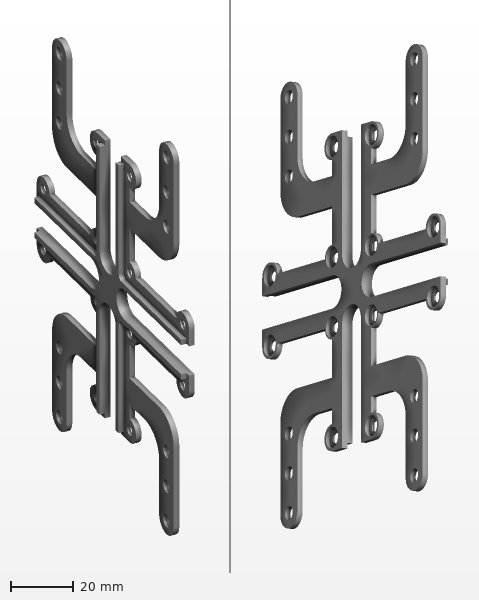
import cadquery as cq
height = 146.0
cross_span = 104.0
depth = 4.0
plate_thickness = 2.0
back_y = depth / 2

rail_edge = 11.4
slot_width = 11.0
slot_round_center = rail_edge
rib_width = 2.0
rib_end_setback = 1.9
rib_corner_radius = 1.9
rib_edge = slot_width / 2 + rib_width

outer_lug_radius = 4.4
inner_lug_radius = 4.1
lug_hole_diameter = 3.5
lug_recess_diameter = 7.0
lug_recess_depth = 1.5
outer_lug_offset = cross_span / 2 - outer_lug_radius

arm_width = 10.0
arm_center_x = 36.5
arm_foot_z = 28.0
arm_bend_radius = 10.0
arm_hole_diameter = 4.5
arm_hole_pitch = 13.0
arm_hole_count = 3
arm_end_z = height / 2 - arm_width / 2

inner_lug_centers = [(rail_edge, rail_edge)]
outer_lug_centers = [(rail_edge, outer_lug_offset), (outer_lug_offset, rail_edge)]
lug_centers = inner_lug_centers + outer_lug_centers
arm_hole_centers = [(arm_center_x, arm_end_z - i * arm_hole_pitch) for i in range(arm_hole_count)]


def back_face():
    """XZ sketch plane on the back face; extrusions run toward -Y."""
    return cq.Workplane("XZ", origin=(0, back_y, 0))


def in_all_quadrants(points):
    return [(sx * x, sz * z) for x, z in points for sx in (1, -1) for sz in (1, -1)]


def make_cross(half_width, span, thickness):
    upright = back_face().rect(2 * half_width, span).extrude(thickness)
    crossbar = back_face().rect(span, 2 * half_width).extrude(thickness)
    return upright.union(crossbar)


def make_rib_cross():
    """Full-depth cross that leaves the raised lips once the slots are cut."""
    cross = make_cross(rib_edge, cross_span - 2 * rib_end_setback, depth)
    reach = rail_edge
    inner_corners = cq.selectors.BoxSelector((-reach, -depth, -reach), (reach, depth, reach))
    return cross.edges("|Y").edges(inner_corners).fillet(rib_corner_radius)


def make_arm():
    """Arm of the +X +Z quadrant: out from the limb, then up to a round end."""
    inner_x = arm_center_x - arm_width / 2
    outer_x = arm_center_x + arm_width / 2
    top_z = arm_foot_z + arm_width
    bend = arm_bend_radius
    outline = (
        back_face()
        .moveTo(rib_edge, arm_foot_z)
        .lineTo(outer_x - bend, arm_foot_z)
        .radiusArc((outer_x, arm_foot_z + bend), -bend)
        .lineTo(outer_x, arm_end_z)
        .threePointArc((arm_center_x, height / 2), (inner_x, arm_end_z))
        .lineTo(inner_x, top_z + bend)
        .radiusArc((inner_x - bend, top_z), bend)
        .lineTo(rib_edge, top_z)
        .close()
    )
    return outline.extrude(plate_thickness)


def make_slot():
    """Cutter for the +Z limb: round inner end, open at the tip."""
    length = cross_span / 2 - slot_round_center
    round_end = back_face().center(0, slot_round_center).circle(slot_width / 2).extrude(depth)
    channel = (
        back_face()
        .center(0, slot_round_center + length / 2)
        .rect(slot_width, length)
        .extrude(depth)
    )
    return round_end.union(channel)


result = make_cross(rail_edge, cross_span, plate_thickness)
for centers, radius in (
    (inner_lug_centers, inner_lug_radius),
    (outer_lug_centers, outer_lug_radius),
):
    lugs = back_face().pushPoints(in_all_quadrants(centers)).circle(radius)
    result = result.union(lugs.extrude(plate_thickness))

right_arm = make_arm()
upper_arms = right_arm.union(right_arm.mirror("YZ"))
result = result.union(upper_arms).union(upper_arms.mirror("XY"))

result = result.union(make_rib_cross())
slot = make_slot()
for angle in (0, 90, 180, 270):
    result = result.cut(slot.rotate((0, 0, 0), (0, 1, 0), angle))

for centers, diameter in (
    (lug_centers, lug_hole_diameter),
    (arm_hole_centers, arm_hole_diameter),
):
    holes = back_face().pushPoints(in_all_quadrants(centers)).circle(diameter / 2)
    result = result.cut(holes.extrude(plate_thickness))

recesses = back_face().pushPoints(in_all_quadrants(lug_centers)).circle(lug_recess_diameter / 2)
result = result.cut(recesses.extrude(lug_recess_depth))